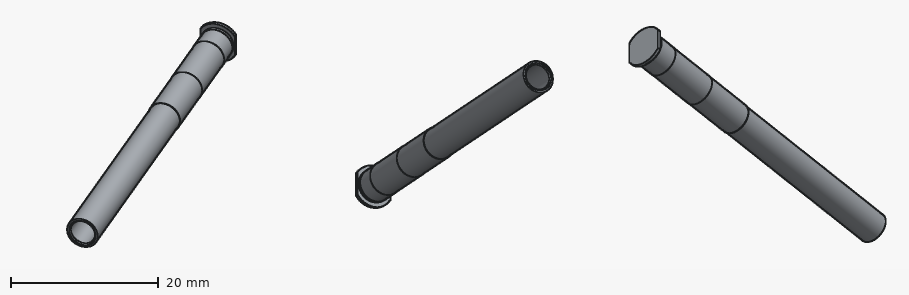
import cadquery as cq
import math

length = 50.0
flange_diameter = 5.95
flange_width = 5.0
flange_thickness = 0.5

neck = (4.7, 1.0)
collar = (4.75, 4.0)
grip = (4.7, 12.0)
sleeve = (4.65, 20.0)
tube = (4.5, length)
barrel_sections = [neck, collar, grip, sleeve, tube]

bore_diameter = 3.5
bore_depth = 45.0
mouth_chamfer = 0.2
drill_point_angle = 118.0

y_back = length / 2
y_front = -length / 2


def revolve_about_y(points):
    """Turn a closed (radius, y) half profile about the Y axis."""
    profile = cq.Workplane("XY").polyline(points).close()
    return profile.revolve(360, (0, 0, 0), (0, 1, 0))


def flange():
    """Round flange with two flats facing -X and +X."""
    plane = cq.Workplane("XZ", origin=(0, y_back, 0))
    disc = plane.circle(flange_diameter / 2).extrude(flange_thickness)
    flats = cq.Workplane("XY").box(flange_width, length, flange_diameter)
    return disc.intersect(flats)


def barrel():
    """Solid of coaxial cylinders, one for each barrel section."""
    points = [(0, y_back)]
    section_start = 0
    for diameter, section_end in barrel_sections:
        points.append((diameter / 2, y_back - section_start))
        points.append((diameter / 2, y_back - section_end))
        section_start = section_end
    points.append((0, y_front))
    return revolve_about_y(points)


def bore():
    """Blind hole with a chamfered mouth and a drill-point bottom."""
    radius = bore_diameter / 2
    y_shoulder = y_front + bore_depth
    cone_height = radius / math.tan(math.radians(drill_point_angle / 2))
    return revolve_about_y([
        (0, y_front),
        (radius + mouth_chamfer, y_front),
        (radius, y_front + mouth_chamfer),
        (radius, y_shoulder),
        (0, y_shoulder + cone_height),
    ])


result = barrel().union(flange()).cut(bore())